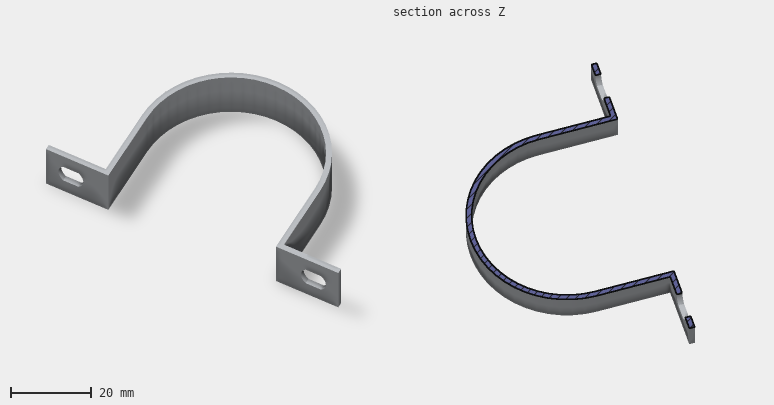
import cadquery as cq

overall_width = 82.0
overall_depth = 45.5
strip_width = 14.0
thickness = 1.5
inner_radius = 23.5

hole_spacing = 68.0
hole_diameter = 7.0
hole_height = 5.5

outer_radius = inner_radius + thickness
half_width = overall_width / 2
foot_face_y = 0.0
foot_back_y = foot_face_y + thickness
arc_center_y = foot_face_y + overall_depth - outer_radius


def make_strap():
    """Bent strip: left foot, leg, half-round bow, leg, right foot."""
    return (
        cq.Workplane("XY")
        .moveTo(-half_width, foot_face_y)
        .lineTo(-inner_radius, foot_face_y)
        .lineTo(-inner_radius, arc_center_y)
        .threePointArc((0, arc_center_y + inner_radius), (inner_radius, arc_center_y))
        .lineTo(inner_radius, foot_face_y)
        .lineTo(half_width, foot_face_y)
        .lineTo(half_width, foot_back_y)
        .lineTo(outer_radius, foot_back_y)
        .lineTo(outer_radius, arc_center_y)
        .threePointArc((0, arc_center_y + outer_radius), (-outer_radius, arc_center_y))
        .lineTo(-outer_radius, foot_back_y)
        .lineTo(-half_width, foot_back_y)
        .close()
        .extrude(strip_width / 2, both=True)
    )


def make_foot_hole(center_x):
    """Round hole through a foot, narrowed by a flat at its top and bottom."""
    foot_plane = cq.Workplane("XZ", origin=(center_x, foot_back_y, 0))
    round_hole = foot_plane.circle(hole_diameter / 2).extrude(thickness)
    flat_limits = foot_plane.rect(hole_diameter, hole_height).extrude(thickness)
    return round_hole.intersect(flat_limits)


result = make_strap()
for side in (-1, 1):
    result = result.cut(make_foot_hole(side * hole_spacing / 2))